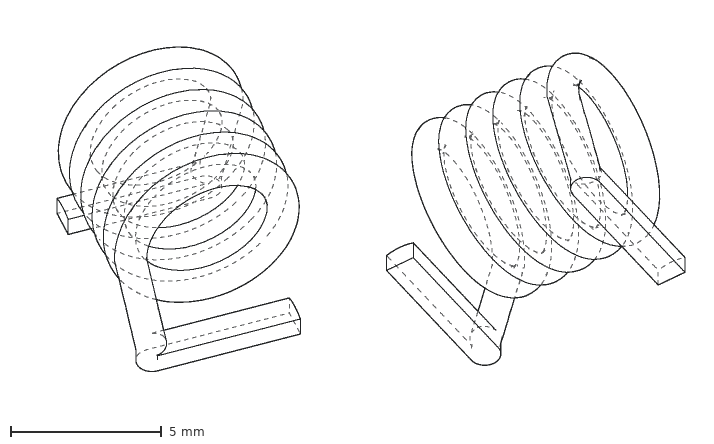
import cadquery as cq

length = 8.18
width = 6.67
height = 7.63
wire_diameter = 1.07
pitch = 1.08
turns = 5.5
foot_flank_height = 0.7
foot_crown_height = 0.79

wire_radius = wire_diameter / 2
coil_radius = (width - wire_diameter) / 2
coil_length = pitch * turns
axis_height = height - width / 2
coil_start = (-coil_length / 2, coil_radius, axis_height)

foot_x = -(length - wire_diameter) / 2
foot_flat_end_y = -coil_radius
foot_round_centre_y = coil_radius - wire_radius
leg_base_height = wire_radius


def make_coil():
    """Right-handed coil with horizontal end faces at axis height."""
    coil_plane = cq.Plane(origin=(coil_start[0], 0, axis_height), xDir=(0, 1, 0), normal=(1, 0, 0))
    helix = cq.Wire.makeHelix(pitch, coil_length, coil_radius).moved(coil_plane.location)
    return (
        cq.Workplane("XY", origin=coil_start)
        .circle(wire_radius)
        .sweep(cq.Workplane(helix), isFrenet=True)
    )


def make_leg():
    """Slanted round leg from the rounded end of the foot to the start of the coil."""
    coil_offset = (coil_start[0] - foot_x, coil_start[1] - foot_round_centre_y)
    return (
        cq.Workplane("XY", origin=(foot_x, foot_round_centre_y, leg_base_height))
        .circle(wire_radius)
        .workplane(offset=axis_height - leg_base_height)
        .center(*coil_offset)
        .circle(wire_radius)
        .loft(ruled=True)
    )


def make_foot():
    """Bar along Y with an arched top, closed by a half-round end below the leg."""
    bar = (
        cq.Workplane("XZ", origin=(foot_x, foot_flat_end_y, 0))
        .moveTo(-wire_radius, 0)
        .lineTo(wire_radius, 0)
        .lineTo(wire_radius, foot_flank_height)
        .threePointArc((0, foot_crown_height), (-wire_radius, foot_flank_height))
        .close()
        .extrude(foot_flat_end_y - foot_round_centre_y)
    )
    round_end = (
        cq.Workplane("XY", origin=(foot_x, foot_round_centre_y, 0))
        .circle(wire_radius)
        .extrude(leg_base_height)
    )
    return bar.union(round_end)


terminal = make_foot().union(make_leg())
opposite_terminal = terminal.rotate((0, 0, 0), (0, 0, 1), 180)
result = make_coil().union(terminal).union(opposite_terminal)